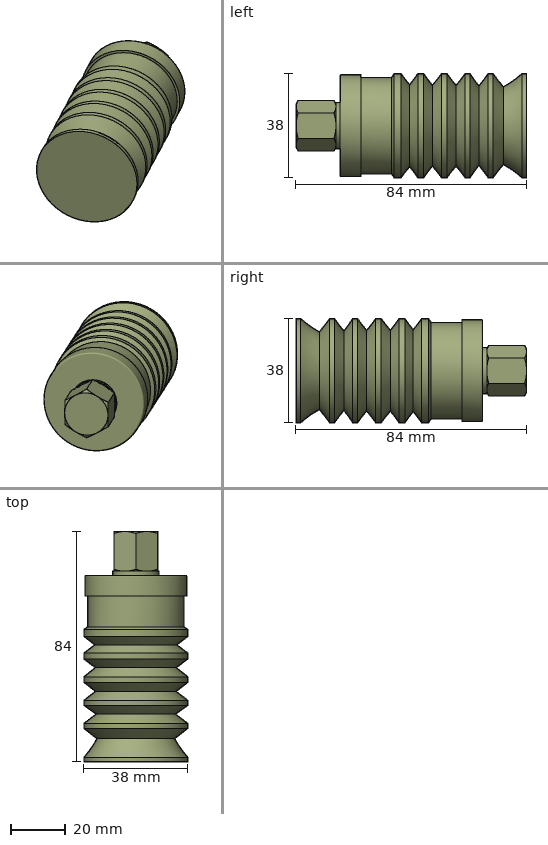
import cadquery as cq
import math

TOTAL_LENGTH = 84.0

OUTER_RADIUS = 38.0 / 2
RIM_WIDTH = 1.65
FLARE_SAG = 0.3

FOLDS = [
    (8.45, 14.2, 12.2, 14.0),
    (17.4, 14.5, 20.6, 22.4),
    (25.7, 14.75, 29.0, 31.0),
    (34.35, 14.8, 37.5, 39.65),
    (42.65, 15.0, 45.75, 48.25),
]

SLEEVE_RADIUS = 35.3 / 2
SLEEVE_START = 49.2
COLLAR_RADIUS = 37.2 / 2
COLLAR_START = 60.4
COLLAR_END = 68.0
COLLAR_FILLET = 0.5
NECK_RADIUS = 17.0 / 2

HEX_START = 69.5
HEX_ACROSS_FLATS = 16.0
HEX_ACROSS_CORNERS = HEX_ACROSS_FLATS / math.cos(math.radians(30))
HEX_CHAMFER_ANGLE = 30.0


def cross_section_at(y):
    """Plane across the Y axis at y; its normal is -Y, so a negative extrusion runs toward +Y."""
    return cq.Workplane("XZ", origin=(0, y, 0))


def make_bellows():
    """Sealing rim, flare, folds, sleeve and collar as one revolved profile."""
    flare_end_y, flare_end_radius = FOLDS[0][:2]
    flare_middle = (
        (OUTER_RADIUS + flare_end_radius) / 2 - FLARE_SAG,
        (RIM_WIDTH + flare_end_y) / 2,
    )
    profile = (
        cq.Workplane("XY")
        .moveTo(0, 0)
        .lineTo(OUTER_RADIUS, 0)
        .lineTo(OUTER_RADIUS, RIM_WIDTH)
        .threePointArc(flare_middle, (flare_end_radius, flare_end_y))
    )
    for index, (groove_y, groove_radius, crest_start, crest_end) in enumerate(FOLDS):
        if index > 0:
            profile = profile.lineTo(groove_radius, groove_y)
        profile = profile.lineTo(OUTER_RADIUS, crest_start).lineTo(OUTER_RADIUS, crest_end)
    profile = (
        profile.lineTo(SLEEVE_RADIUS, SLEEVE_START)
        .lineTo(SLEEVE_RADIUS, COLLAR_START)
        .lineTo(COLLAR_RADIUS, COLLAR_START)
        .lineTo(COLLAR_RADIUS, COLLAR_END)
        .lineTo(0, COLLAR_END)
        .close()
    )
    body = profile.revolve(360, (0, 0, 0), (0, 1, 0))
    return body.faces(">Y").edges().fillet(COLLAR_FILLET)


def make_neck():
    """Short round neck between the collar and the hexagonal head."""
    return cross_section_at(COLLAR_END).circle(NECK_RADIUS).extrude(-(HEX_START - COLLAR_END))


def make_hex_head():
    """Hexagonal head, corners on +Z and -Z, chamfered at both ends."""
    length = TOTAL_LENGTH - HEX_START
    prism = (
        cross_section_at(HEX_START)
        .transformed(rotate=(0, 0, 90))
        .polygon(6, HEX_ACROSS_CORNERS)
        .extrude(-length)
    )
    flat_radius = HEX_ACROSS_FLATS / 2
    corner_radius = HEX_ACROSS_CORNERS / 2
    chamfer_length = (corner_radius - flat_radius) * math.tan(math.radians(HEX_CHAMFER_ANGLE))
    chamfer_envelope = (
        cq.Workplane("XY")
        .moveTo(0, HEX_START)
        .lineTo(flat_radius, HEX_START)
        .lineTo(corner_radius, HEX_START + chamfer_length)
        .lineTo(corner_radius, TOTAL_LENGTH - chamfer_length)
        .lineTo(flat_radius, TOTAL_LENGTH)
        .lineTo(0, TOTAL_LENGTH)
        .close()
        .revolve(360, (0, 0, 0), (0, 1, 0))
    )
    return prism.intersect(chamfer_envelope)


result = make_bellows().union(make_neck()).union(make_hex_head())